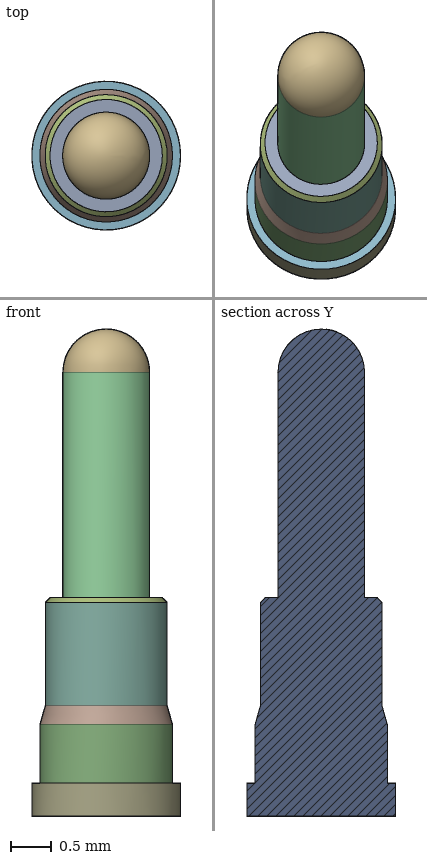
import cadquery as cq

flange_diameter = 1.83
press_fit_diameter = 1.63
barrel_diameter = 1.50
plunger_diameter = 1.07

flange_top = 0.41
press_fit_top = 1.13
taper_top = 1.36
barrel_top = 2.69
overall_height = 5.99

barrel_chamfer = 0.06

flange_radius = flange_diameter / 2
press_fit_radius = press_fit_diameter / 2
barrel_radius = barrel_diameter / 2
plunger_radius = plunger_diameter / 2
dome_base = overall_height - plunger_radius


def make_barrel():
    """Flanged barrel with a tapered press-fit section, revolved about Z."""
    profile = (
        cq.Workplane("XZ")
        .lineTo(flange_radius, 0)
        .lineTo(flange_radius, flange_top)
        .lineTo(press_fit_radius, flange_top)
        .lineTo(press_fit_radius, press_fit_top)
        .lineTo(barrel_radius, taper_top)
        .lineTo(barrel_radius, barrel_top - barrel_chamfer)
        .lineTo(barrel_radius - barrel_chamfer, barrel_top)
        .lineTo(0, barrel_top)
        .close()
    )
    return profile.revolve(360, (0, 0), (0, 1))


def make_plunger():
    """Round pin with a hemispherical tip, rising from the bottom of the barrel."""
    profile = (
        cq.Workplane("XZ")
        .lineTo(plunger_radius, 0)
        .lineTo(plunger_radius, dome_base)
        .radiusArc((0, overall_height), -plunger_radius)
        .close()
    )
    return profile.revolve(360, (0, 0), (0, 1))


result = make_barrel().union(make_plunger())